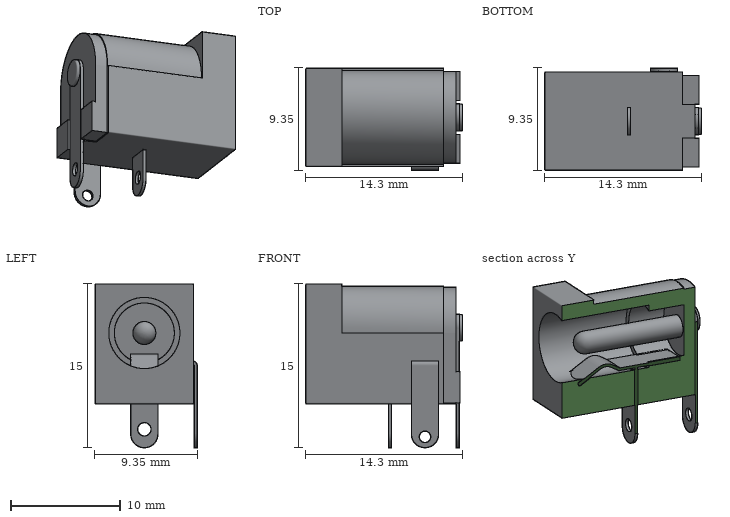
import cadquery as cq
import math


housing_width = 9.0
housing_top = 15.0
housing_bottom = 4.0
block_length = 3.32
shell_length = 12.62
rear_end = 13.75
edge_fillet = 0.1
axis_z = 10.5
shell_radius = 4.29
rear_radius = 4.2
rear_bottom = housing_bottom + edge_fillet
wing_top = 6.96
wing_length = 0.36
wing_gap = 3.09
bore_radius = 3.25
bore_depth = 9.0
inner_bore_radius = 2.75
inner_bore_depth = shell_length

sheet = 0.3
leg_width = 2.5
leg_end_radius = leg_width / 2

pin_radius = 1.05
pin_tip_x = 2.0
pin_tip_flat = 0.06
plate_head_z = 10.98
plate_head_radius = 1.26
rivet_radius = 1.23
rivet_fillet = 0.14
rivet_end = 14.35
inline_hole_radius = 0.6
inline_hole_z = 1.7

spring_leg_x = 7.55
ramp_angle = 30.0
ramp_foot_x = 1.68
ramp_foot_z = 7.14
spring_peak_z = 8.56
spring_bend_radius = 1.42
strap_top = 7.95
strap_gap = 0.05
strap_outer_y = -(housing_width / 2 + strap_gap + sheet)
strap_bend_radius = 0.45
strap_center_x = 10.9
strap_hole_radius = 0.51
strap_hole_z = 1.0


def box(x_range, y_range, z_range):
    """Box between pairs of limits along each axis."""
    (x0, x1), (y0, y1), (z0, z1) = x_range, y_range, z_range
    return cq.Workplane("XY").box(x1 - x0, y1 - y0, z1 - z0, centered=False).translate((x0, y0, z0))


def rod(radius, x_start, x_end, center_z):
    """Cylinder along X, centred at Y = 0."""
    return cq.Workplane("YZ", origin=(x_start, 0, center_z)).circle(radius).extrude(x_end - x_start)


def centered_range(width):
    return (-width / 2, width / 2)


def leg_across_x(x_start, top_z):
    """Round-ended leg with a hole, lying in a YZ plane and centred at Y = 0."""
    strip = box((x_start, x_start + sheet), centered_range(leg_width), (leg_end_radius, top_z))
    end = rod(leg_end_radius, x_start, x_start + sheet, leg_end_radius)
    hole = rod(inline_hole_radius, x_start, x_start + sheet, inline_hole_z)
    return strip.union(end).cut(hole)


def make_center_contact():
    tip_fillet = pin_radius - pin_tip_flat
    pin = rod(pin_radius, pin_tip_x, rear_end, axis_z).faces("<X").edges().fillet(tip_fillet)
    plate_back = rear_end + sheet
    plate = leg_across_x(rear_end, plate_head_z)
    plate_head = rod(plate_head_radius, rear_end, plate_back, plate_head_z)
    rivet = rod(rivet_radius, plate_back, rivet_end, plate_head_z).faces(">X").edges().fillet(rivet_fillet)
    return plate.union(plate_head).union(rivet).union(pin)


def make_spring():
    """Bent strip: ramp up from the socket floor, crest, ramp down, then flat to the strap."""
    slope = math.radians(ramp_angle)
    crest_half = spring_bend_radius * math.sin(slope)
    crest_drop = spring_bend_radius * (1 - math.cos(slope))
    crest_z = spring_peak_z - crest_drop
    crest_x = ramp_foot_x + (crest_z - ramp_foot_z) / math.tan(slope)
    peak_x = crest_x + crest_half
    flat_x = crest_x + 2 * crest_half + (crest_z - strap_top) / math.tan(slope)
    flat_end = strap_center_x + leg_width / 2

    normal_x = sheet * math.sin(slope)
    normal_z = sheet * math.cos(slope)
    corner_shift = sheet * math.tan(slope / 2)

    profile = (
        cq.Workplane("XZ", origin=(0, leg_width / 2, 0))
        .moveTo(ramp_foot_x, ramp_foot_z)
        .lineTo(crest_x, crest_z)
        .threePointArc((peak_x, spring_peak_z), (peak_x + crest_half, crest_z))
        .lineTo(flat_x, strap_top)
        .lineTo(flat_end, strap_top)
        .lineTo(flat_end, strap_top - sheet)
        .lineTo(flat_x - corner_shift, strap_top - sheet)
        .lineTo(peak_x + crest_half - normal_x, crest_z - normal_z)
        .threePointArc((peak_x, spring_peak_z - sheet), (crest_x + normal_x, crest_z - normal_z))
        .lineTo(ramp_foot_x + normal_x, ramp_foot_z - normal_z)
        .close()
    )
    return profile.extrude(leg_width)


def make_strap():
    """Strip from the spring out through the -Y wall, bent down into a leg."""
    inner_y = strap_outer_y + sheet
    bend_y = strap_outer_y + strap_bend_radius
    bend_z = strap_top - strap_bend_radius
    inner_bend_radius = strap_bend_radius - sheet
    diagonal = math.sqrt(0.5)
    strip = (
        cq.Workplane("YZ", origin=(strap_center_x - leg_width / 2, 0, 0))
        .moveTo(leg_width / 2, strap_top)
        .lineTo(bend_y, strap_top)
        .threePointArc(
            (bend_y - strap_bend_radius * diagonal, bend_z + strap_bend_radius * diagonal),
            (strap_outer_y, bend_z),
        )
        .lineTo(strap_outer_y, leg_end_radius)
        .lineTo(inner_y, leg_end_radius)
        .lineTo(inner_y, bend_z)
        .threePointArc(
            (bend_y - inner_bend_radius * diagonal, bend_z + inner_bend_radius * diagonal),
            (bend_y, strap_top - sheet),
        )
        .lineTo(leg_width / 2, strap_top - sheet)
        .close()
        .extrude(leg_width)
    )
    leg_plane = cq.Workplane("XZ", origin=(strap_center_x, inner_y, 0))
    end = leg_plane.center(0, leg_end_radius).circle(leg_end_radius).extrude(sheet)
    hole = leg_plane.center(0, strap_hole_z).circle(strap_hole_radius).extrude(sheet)
    return strip.union(end).cut(hole)


def make_sleeve_contact():
    spring_leg = leg_across_x(spring_leg_x, strap_top)
    return make_spring().union(spring_leg).union(make_strap())


def make_housing_shell():
    """Mouth block and lower box with rounded edges, topped by the round shell."""
    width = centered_range(housing_width)
    block = box((0, block_length), width, (housing_bottom, housing_top))
    lower_box = box((0, shell_length), width, (housing_bottom, axis_z))
    base = block.union(lower_box)
    sharp_edges = base.faces("<X").edges()
    for side in ("<Z", ">Z"):
        sharp_edges = sharp_edges.add(base.faces(side).edges("|X"))
    return sharp_edges.fillet(edge_fillet).union(rod(shell_radius, 0, shell_length, axis_z))


def make_rear_section():
    """Stepped-in rear with a low foot below it and two wings behind it."""
    depth = (shell_length, rear_end)
    section = rod(rear_radius, *depth, axis_z)
    section = section.union(box(depth, centered_range(2 * rear_radius), (rear_bottom, axis_z)))
    section = section.union(box(depth, centered_range(wing_gap), (housing_bottom, axis_z)))
    wing_depth = (rear_end, rear_end + wing_length)
    wings = box(wing_depth, centered_range(2 * rear_radius), (rear_bottom, wing_top))
    gap = box(wing_depth, centered_range(wing_gap), (rear_bottom, wing_top))
    return section.union(wings.cut(gap))


def make_housing(contacts):
    """Housing with its stepped bore and a matching opening for each contact."""
    housing = make_housing_shell().union(make_rear_section())
    housing = housing.cut(rod(bore_radius, 0, bore_depth, axis_z))
    housing = housing.cut(rod(inner_bore_radius, 0, inner_bore_depth, axis_z))
    for contact in contacts:
        housing = housing.cut(contact)
    return housing


center_contact = make_center_contact()
sleeve_contact = make_sleeve_contact()
housing = make_housing([center_contact, sleeve_contact])

bodies = [housing, center_contact, sleeve_contact]
result = cq.Compound.makeCompound([body.solids().val() for body in bodies])